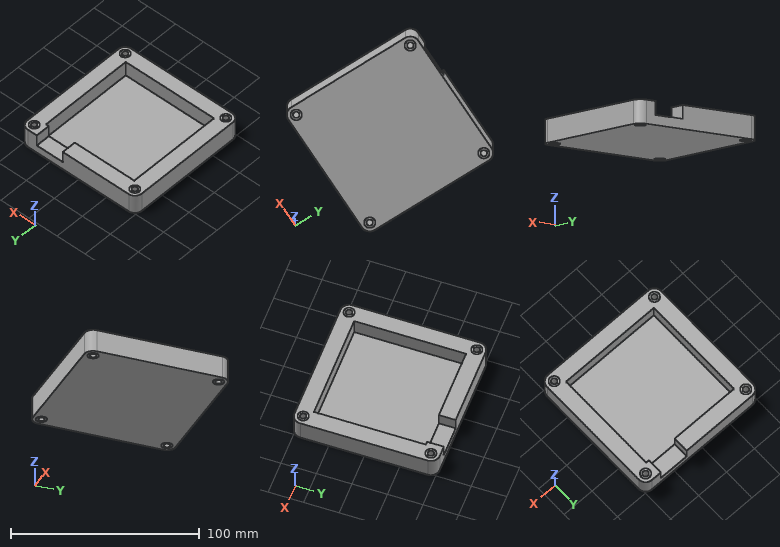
import cadquery as cq

SIDE = 81.9
HEIGHT = 13.0
CORNER_RADIUS = 5.0

POCKET_SIDE = 63.0
POCKET_DEPTH = 10.0

NOTCH_WIDTH = 18.5
NOTCH_DEPTH = 7.5
NOTCH_TO_POCKET_SIDE = 2.0

SLEEVE_DIAMETER = 6.0
SLEEVE_BORE = 3.4

POCKET_HALF = POCKET_SIDE / 2
WALL = (SIDE - POCKET_SIDE) / 2
SLEEVE_OFFSET = SIDE / 2 - CORNER_RADIUS
SLEEVE_CENTERS = [
    (x, y)
    for x in (-SLEEVE_OFFSET, SLEEVE_OFFSET)
    for y in (-SLEEVE_OFFSET, SLEEVE_OFFSET)
]


def make_pocket():
    """Square cavity cut down from the top face."""
    floor = HEIGHT - POCKET_DEPTH
    return cq.Workplane("XY").workplane(offset=floor).rect(POCKET_SIDE, POCKET_SIDE).extrude(POCKET_DEPTH)


def make_notch():
    """Opening that runs from the pocket out through the +Y wall."""
    center_x = POCKET_HALF - NOTCH_TO_POCKET_SIDE - NOTCH_WIDTH / 2
    center_y = POCKET_HALF + WALL / 2
    floor = HEIGHT - NOTCH_DEPTH
    return (
        cq.Workplane("XY")
        .workplane(offset=floor)
        .center(center_x, center_y)
        .rect(NOTCH_WIDTH, WALL)
        .extrude(NOTCH_DEPTH)
    )


def make_housing():
    """Rounded square tray with a hole for a sleeve in each corner."""
    block = cq.Workplane("XY").rect(SIDE, SIDE).extrude(HEIGHT).edges("|Z").fillet(CORNER_RADIUS)
    sleeve_holes = cq.Workplane("XY").pushPoints(SLEEVE_CENTERS).circle(SLEEVE_DIAMETER / 2).extrude(HEIGHT)
    return block.cut(make_pocket()).cut(make_notch()).cut(sleeve_holes)


def make_sleeve(center):
    """Plain tube through the full height of the housing."""
    return (
        cq.Workplane("XY")
        .center(*center)
        .circle(SLEEVE_DIAMETER / 2)
        .circle(SLEEVE_BORE / 2)
        .extrude(HEIGHT)
    )


housing = make_housing()
sleeves = [make_sleeve(center) for center in SLEEVE_CENTERS]

result = cq.Compound.makeCompound([housing.val(), *[sleeve.val() for sleeve in sleeves]])